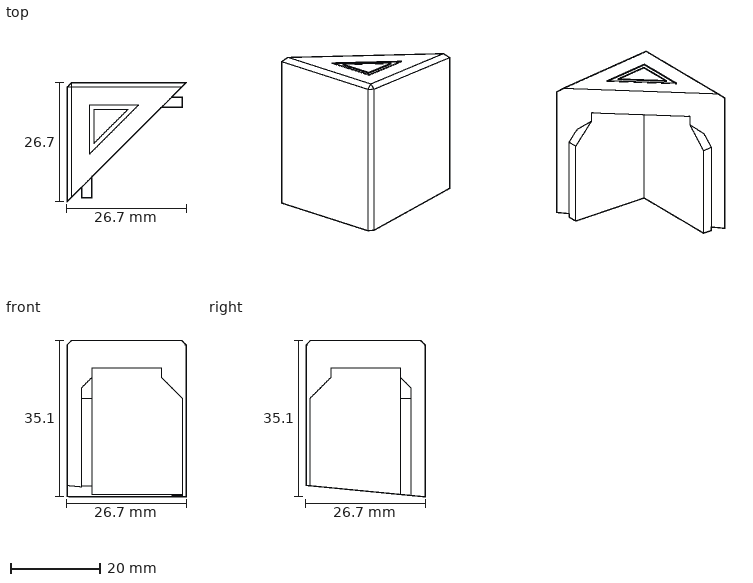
import cadquery as cq
import math

leg_length = 26.72
height = 35.1
edge_chamfer = 1.0
bottom_slope_angle = 5.5

tab_setback = 3.25
tab_thickness = 2.3
tab_reach = 25.86
tab_shoulder_height = 22.1

cavity_wall = tab_setback + tab_thickness
cavity_top = 28.95

groove_setback = 5.0
groove_leg = 11.05
groove_width = 1.0
groove_depth = 0.2


def triangle_prism(setback, leg, base_z, prism_height):
    """Right-angled triangular prism set back equally from both outer faces."""
    return (
        cq.Workplane("XY", origin=(setback, -setback, base_z))
        .polyline([(0, 0), (leg, 0), (0, -leg)])
        .close()
        .extrude(prism_height)
    )


def swap_legs(shape):
    """Mirror a shape across the plane that bisects the upright corner."""
    return shape.mirror("YZ").rotate((0, 0, 0), (0, 0, 1), 90)


def make_block():
    block = triangle_prism(0, leg_length, 0, height)
    outer_edges = block.edges("|Z and <X and >Y").add(block.faces(">Z").edges("<X or >Y"))
    return outer_edges.chamfer(edge_chamfer)


def make_cavity():
    return triangle_prism(cavity_wall, leg_length, 0, cavity_top)


def make_tab_along_x():
    slope_end = leg_length - cavity_wall
    slope_rise = tab_reach - slope_end
    profile = [
        (tab_setback, 0),
        (tab_reach, 0),
        (tab_reach, tab_shoulder_height),
        (slope_end, tab_shoulder_height + slope_rise),
        (slope_end, cavity_top),
        (tab_setback, cavity_top),
    ]
    return (
        cq.Workplane("XZ", origin=(0, -tab_setback, 0))
        .polyline(profile)
        .close()
        .extrude(tab_thickness)
    )


def make_groove():
    diagonal_shift = math.sqrt(2) * groove_width
    island_leg = groove_leg - 2 * groove_width - diagonal_shift
    floor_z = height - groove_depth
    outer = triangle_prism(groove_setback, groove_leg, floor_z, groove_depth)
    island = triangle_prism(groove_setback + groove_width, island_leg, floor_z, groove_depth)
    return outer.cut(island)


def make_underside_wedge():
    rise = leg_length * math.tan(math.radians(bottom_slope_angle))
    return (
        cq.Workplane("YZ")
        .polyline([(0, 0), (-leg_length, 0), (-leg_length, rise)])
        .close()
        .extrude(leg_length)
    )


tab_along_x = make_tab_along_x()
tab_along_y = swap_legs(tab_along_x)

result = (
    make_block()
    .cut(make_cavity())
    .union(tab_along_x)
    .union(tab_along_y)
    .cut(make_groove())
    .cut(make_underside_wedge())
)